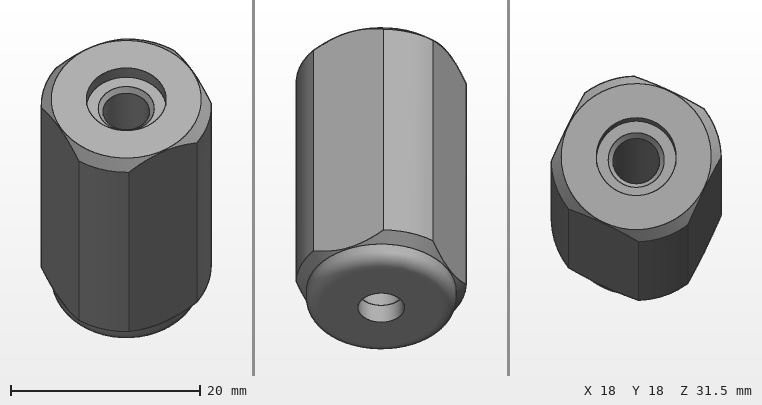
import cadquery as cq

total_height = 31.5
body_diameter = 18.0
across_flats = 16.0
end_face_diameter = 15.85

foot_height = 2.27
foot_diameter = end_face_diameter
foot_round = 1.45

bore_diameter = 4.9
bore_chamfer = 0.5
counterbore_diameter = 8.45
counterbore_depth = 1.58

body_height = total_height - foot_height
end_chamfer = (body_diameter - end_face_diameter) / 2
counterbore_floor = total_height - counterbore_depth


def make_body():
    """Chamfered round bar with four flats facing the diagonals and a stepped bore."""
    bar = (
        cq.Workplane("XY")
        .workplane(offset=foot_height)
        .circle(body_diameter / 2)
        .extrude(body_height)
        .faces("<Z or >Z")
        .chamfer(end_chamfer)
    )
    square = (
        cq.Workplane("XY")
        .workplane(offset=foot_height)
        .transformed(rotate=(0, 0, 45))
        .rect(across_flats, across_flats)
        .extrude(body_height)
    )
    counterbore = (
        cq.Workplane("XY")
        .workplane(offset=counterbore_floor)
        .circle(counterbore_diameter / 2)
        .extrude(counterbore_depth)
    )
    bore = (
        cq.Workplane("XY")
        .workplane(offset=foot_height)
        .circle(bore_diameter / 2)
        .extrude(counterbore_floor - foot_height)
    )
    lead_in = (
        cq.Workplane("XY")
        .workplane(offset=counterbore_floor - bore_chamfer)
        .circle(bore_diameter / 2)
        .workplane(offset=bore_chamfer)
        .circle(bore_diameter / 2 + bore_chamfer)
        .loft(ruled=True)
    )
    return bar.intersect(square).cut(counterbore).cut(bore).cut(lead_in)


def make_foot():
    """Round foot with a rounded lower rim, bored through in line with the body."""
    return (
        cq.Workplane("XY")
        .circle(foot_diameter / 2)
        .extrude(foot_height)
        .faces("<Z")
        .edges()
        .fillet(foot_round)
        .faces(">Z")
        .workplane()
        .hole(bore_diameter)
    )


body = make_body()
foot = make_foot()

result = cq.Compound.makeCompound([body.val(), foot.val()])